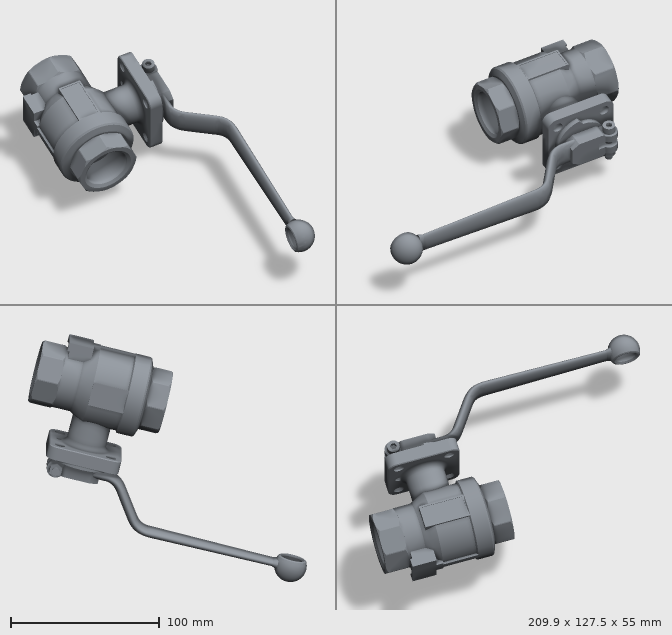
import cadquery as cq
import math


half_length = 45.0
bore_dia = 30.29
bore_depth = 20.6
bore_mouth_dia = 34.5
bore_chamfer = 1.5
octagon_flats = 41.0
octagon_round_dia = 44.1
octagon_chamfer = 1.3
left_octagon_end = -28.5
neck_radius = 20.75
neck_end = -16.2
body_radius = 26.0
body_start = -6.8
body_end = 16.8
ring_start = 17.7
ring_chamfer_start = 28.2
ring_end = 29.3
ring_radius = 27.5
ring_end_radius = 26.6
right_octagon_start = 31.0

pad_half_width = 8.0
pad_height = 26.2
pad_start = -13.7
pad_frame = 1.2
pad_recess = 0.4
block_start = left_octagon_end
block_end = -11.6
block_half_width = 12.4
block_relief_radius = 25.0
block_relief_depth = 1.5
step_half_width = 4.2
rib_half_width = 2.2

stem_dia = 27.0
collar_fillet = 3.3
flange_bottom = 41.6
flange_top = 50.7
flange_size = 50.0
flange_corner = 6.2
flange_edge_chamfer = 0.6
bolt_circle_dia = 50.0
bolt_hole_dia = 7.0

disc_radius = 20.0
disc_relief_radius = 16.0
stop_wall_flare = 3.5
stop_pin_dia = 4.9
stop_pin_x = -17.8
stop_pin_top = 53.2
pin_hole_dia = 5.0
pin_hole_depth = 2.0

clamp_bottom = 54.2
clamp_top = 64.4
clamp_half_width = 9.5
clamp_flat_start = -8.4
ear_root_x = -12.0
clamp_flat_end = 8.6
clamp_end = 14.0
clamp_tip_half_width = 6.0
ear_x = -16.0
ear_y = 60.5
ear_radius = 6.0
ear_upper_z = 7.9
ear_lower_z = -8.0
slot_upper_z = 2.7
slot_lower_z = -2.2
slot_end = -6.5
screw_dia = 5.2
screw_head_dia = 8.5
screw_head_height = 5.2
socket_flats = 4.0
socket_depth = 3.0
nut_corners = 9.2
nut_height = 5.4
screw_tip_z = -16.8

handle_width = 18.4
handle_thickness = 6.8
handle_end_width = 14.0
handle_end_thickness = 5.3
handle_root = (9.5, 58.5)
lower_bend_start = (18.0, 58.5)
lower_bend_end = (30.7, 65.5)
upper_bend_start = (42.5, 82.2)
upper_bend_end = (55.9, 89.2)
handle_end_x = 141.5
handle_collar_x = 145.0
handle_collar_width = 16.0
handle_collar_thickness = 8.0

knob_radius = 11.0
knob_x = 153.9
knob_y = 89.05
knob_flat_y = 83.3
knob_flat_chamfer = 0.6
knob_hole_dia = 14.0
knob_hole_depth = 6.5
knob_hole_chamfer = 1.2


def box(x_range, y_range, z_range):
    """Axis-aligned block between the given limits."""
    size = [limits[1] - limits[0] for limits in (x_range, y_range, z_range)]
    corner = (x_range[0], y_range[0], z_range[0])
    return cq.Workplane("XY").box(*size, centered=False).translate(corner)


def cylinder_x(radius, start, end):
    return cq.Workplane("YZ", origin=(start, 0, 0)).circle(radius).extrude(end - start)


def cylinder_y(radius, x, z, bottom, top):
    return cq.Workplane("XZ", origin=(x, bottom, z)).circle(radius).extrude(bottom - top)


def cylinder_z(radius, x, y, bottom, top):
    return cq.Workplane("XY", origin=(x, y, bottom)).circle(radius).extrude(top - bottom)


def octagon_end(start, end):
    """Octagonal wrench section with turned corners and coned end edges."""
    corner_dia = octagon_flats / math.cos(math.pi / 8)
    section = cq.Workplane("YZ", origin=(start, 0, 0)).polygon(8, corner_dia).extrude(end - start)
    turned = cylinder_x(octagon_round_dia / 2, start, end).faces("<X or >X").chamfer(octagon_chamfer)
    return section.intersect(turned)


def pipe_body():
    profile = [
        (left_octagon_end, 0),
        (left_octagon_end, neck_radius),
        (neck_end, neck_radius),
        (body_start, body_radius),
        (body_end, body_radius),
        (ring_start, ring_radius),
        (ring_chamfer_start, ring_radius),
        (ring_end, ring_end_radius),
        (right_octagon_start, octagon_round_dia / 2),
        (right_octagon_start, 0),
    ]
    middle = cq.Workplane("XY").polyline(profile).close().revolve(360, (0, 0, 0), (1, 0, 0))
    left = octagon_end(-half_length, left_octagon_end)
    right = octagon_end(right_octagon_start, half_length)
    return middle.union(left).union(right)


def name_pad():
    """Raised name plate with a shallow framed recess on the +Z side."""
    pad = box((pad_start, ring_start), (-pad_half_width, pad_half_width), (0, pad_height))
    recess = box(
        (pad_start + pad_frame, ring_start - pad_frame),
        (pad_frame - pad_half_width, pad_half_width - pad_frame),
        (pad_height - pad_recess, pad_height),
    )
    return pad, recess


def lower_pad():
    return box((body_start, ring_start), (-pad_half_width, pad_half_width), (-pad_height, 0))


def bottom_ribs():
    """Block, step and rib in one plane along the -Y side of the body.

    A round relief clears the left octagon on the block's -X face.
    """
    height = (-ring_radius, 0)
    block = box((block_start, block_end), height, (-block_half_width, block_half_width))
    relief = cylinder_x(block_relief_radius, block_start, block_start + block_relief_depth)
    block = block.cut(relief)
    step = box((block_end, body_start), height, (-step_half_width, step_half_width))
    rib = box((body_start, ring_start), height, (-rib_half_width, rib_half_width))
    return block.union(step).union(rib)


def end_bores():
    """Blind bore with a countersunk mouth in each pipe end."""
    profile = [
        (-half_length, 0),
        (-half_length, bore_mouth_dia / 2),
        (-half_length + bore_chamfer, bore_dia / 2),
        (-half_length + bore_depth, bore_dia / 2),
        (-half_length + bore_depth, 0),
    ]
    left = cq.Workplane("XY").polyline(profile).close().revolve(360, (0, 0, 0), (1, 0, 0))
    return left.union(left.mirror("YZ"))


def stem_and_flange():
    stem_radius = stem_dia / 2
    fillet_start = flange_bottom - collar_fillet
    fillet_center_x = stem_radius + collar_fillet
    diagonal = collar_fillet * math.sqrt(0.5)
    stem = (
        cq.Workplane("XY")
        .lineTo(stem_radius, 0)
        .lineTo(stem_radius, fillet_start)
        .threePointArc(
            (fillet_center_x - diagonal, fillet_start + diagonal),
            (fillet_center_x, flange_bottom),
        )
        .lineTo(0, flange_bottom)
        .close()
        .revolve(360, (0, 0, 0), (0, 1, 0))
    )
    half = flange_size / 2
    flange = box((-half, half), (flange_bottom, flange_top), (-half, half))
    flange = flange.edges("|Y").fillet(flange_corner).faces("<Y").chamfer(flange_edge_chamfer)
    offset = bolt_circle_dia / 2 * math.sqrt(0.5)
    for x in (-offset, offset):
        for z in (-offset, offset):
            flange = flange.cut(cylinder_y(bolt_hole_dia / 2, x, z, flange_bottom, flange_top))
    pin_hole = cylinder_y(pin_hole_dia / 2, stop_pin_x, 0, flange_bottom, flange_bottom + pin_hole_depth)
    return stem.union(flange).cut(pin_hole)


def stop_disc():
    """Disc with a stepped-in quarter between two flared stop walls, and the stop pin."""
    height = (flange_top, clamp_bottom)
    disc = cylinder_y(disc_radius, 0, 0, *height)
    outline = [
        (0, 0),
        (0, disc_relief_radius),
        (stop_wall_flare, disc_radius),
        (-disc_radius, disc_radius),
        (-disc_radius, -stop_wall_flare),
        (-disc_relief_radius, 0),
    ]
    plane = cq.Plane(origin=(0, flange_top, 0), xDir=(1, 0, 0), normal=(0, -1, 0))
    quarter = cq.Workplane(plane).polyline(outline).close().extrude(flange_top - clamp_bottom)
    relief = quarter.cut(cylinder_y(disc_relief_radius, 0, 0, *height))
    pin = cylinder_y(stop_pin_dia / 2, stop_pin_x, 0, flange_top, stop_pin_top)
    return disc.cut(relief).union(pin)


def lever_clamp():
    """Split clamp on the stem with a pair of screw ears at its -X end."""
    outline = [
        (ear_root_x, clamp_half_width),
        (clamp_flat_end, clamp_half_width),
        (clamp_end, clamp_tip_half_width),
        (clamp_end, -clamp_tip_half_width),
        (clamp_flat_end, -clamp_half_width),
        (ear_root_x, -clamp_half_width),
    ]
    plane = cq.Plane(origin=(0, clamp_bottom, 0), xDir=(1, 0, 0), normal=(0, -1, 0))
    clamp = cq.Workplane(plane).polyline(outline).close().extrude(clamp_bottom - clamp_top)
    clamp = clamp.edges("|Y and <X").fillet(clamp_flat_start - ear_root_x)
    neck = box((ear_x, clamp_flat_start), (clamp_bottom, clamp_top), (ear_lower_z, ear_upper_z))
    ears = cylinder_z(ear_radius, ear_x, ear_y, ear_lower_z, ear_upper_z)
    slot = box(
        (ear_x - ear_radius, slot_end),
        (clamp_bottom, ear_y + ear_radius),
        (slot_lower_z, slot_upper_z),
    )
    return clamp.union(neck).union(ears).cut(slot)


def clamp_screw():
    """Socket head screw through the ears with a hexagon nut."""
    head_top = ear_upper_z + screw_head_height
    shank = cylinder_z(screw_dia / 2, ear_x, ear_y, screw_tip_z, head_top)
    head = cylinder_z(screw_head_dia / 2, ear_x, ear_y, ear_upper_z, head_top)
    nut_plane = cq.Workplane("XY", origin=(ear_x, ear_y, ear_lower_z))
    nut_plane = nut_plane.transformed(rotate=(0, 0, 90))
    nut = nut_plane.polygon(6, nut_corners).extrude(-nut_height)
    socket_corners = socket_flats / math.cos(math.pi / 6)
    socket_plane = cq.Workplane("XY", origin=(ear_x, ear_y, head_top))
    socket = socket_plane.polygon(6, socket_corners).extrude(-socket_depth)
    return shank.union(head).union(nut).cut(socket)


def handle():
    """Elliptic bar with two bends, tapering towards the knob."""
    rise = (
        upper_bend_start[0] - lower_bend_end[0],
        upper_bend_start[1] - lower_bend_end[1],
    )
    path = (
        cq.Workplane("XY")
        .moveTo(*handle_root)
        .lineTo(*lower_bend_start)
        .spline([lower_bend_end], tangents=[(1, 0), rise], includeCurrent=True)
        .lineTo(*upper_bend_start)
        .spline([upper_bend_end], tangents=[rise, (1, 0)], includeCurrent=True)
    )
    root_plane = cq.Workplane("YZ", origin=(*handle_root, 0))
    bent = root_plane.ellipse(handle_thickness / 2, handle_width / 2).sweep(path)
    grip = (
        cq.Workplane("YZ", origin=(*upper_bend_end, 0))
        .ellipse(handle_thickness / 2, handle_width / 2)
        .workplane(offset=handle_end_x - upper_bend_end[0])
        .ellipse(handle_end_thickness / 2, handle_end_width / 2)
        .loft(combine=True)
    )
    collar = (
        cq.Workplane("YZ", origin=(handle_end_x, upper_bend_end[1], 0))
        .ellipse(handle_end_thickness / 2, handle_end_width / 2)
        .workplane(offset=handle_collar_x - handle_end_x)
        .ellipse(handle_collar_thickness / 2, handle_collar_width / 2)
        .loft(combine=True)
    )
    return bent.union(grip).union(collar)


def knob():
    """Ball flattened on its -Y side."""
    ball = cq.Workplane("XY").sphere(knob_radius).translate((knob_x, knob_y, 0))
    below = box(
        (knob_x - knob_radius, knob_x + knob_radius),
        (knob_y - knob_radius, knob_flat_y),
        (-knob_radius, knob_radius),
    )
    return ball.cut(below).faces("<Y").chamfer(knob_flat_chamfer)


def knob_hole():
    """Countersunk round hole with a spherical bottom."""
    hole_end = knob_flat_y + knob_hole_depth
    hole = cylinder_y(knob_hole_dia / 2, knob_x, 0, knob_flat_y, hole_end)
    round_end = cq.Workplane("XY").sphere(knob_hole_dia / 2).translate((knob_x, hole_end, 0))
    mouth_radius = knob_hole_dia / 2 + knob_hole_chamfer
    mouth = cq.Solid.makeCone(
        mouth_radius,
        knob_hole_dia / 2,
        knob_hole_chamfer,
        cq.Vector(knob_x, knob_flat_y, 0),
        cq.Vector(0, 1, 0),
    )
    return hole.union(round_end).union(cq.Workplane(mouth))


pad_solid, pad_pocket = name_pad()
valve = pipe_body().union(pad_solid).union(lower_pad()).union(bottom_ribs())
valve = valve.union(stem_and_flange()).cut(pad_pocket).cut(end_bores())
lever = handle().union(knob()).cut(knob_hole())
lever = lever.union(lever_clamp()).union(clamp_screw())
result = valve.union(stop_disc()).union(lever)